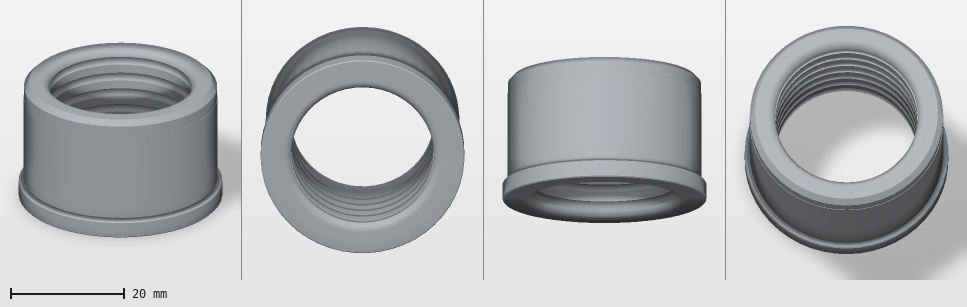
import cadquery as cq
import math

QUARTER_ARC_REACH = 1 - math.sqrt(0.5)

height = 22.0

flange_radius = 17.9
flange_height = 3.0
flange_chamfer = 0.18

fit_radius = 17.05
lead_radius = 16.97
lead_start = 19.0
top_chamfer = 0.93

relief_top = 3.47
relief_outer_radius = 17.45
relief_depth = 0.2
relief_dip = 0.2
relief_fillet = 0.3

liner_radius = 14.5
bore_radius = 12.5
mouth_fillet = 1.5

groove_count = 7
groove_pitch = 3.05
groove_radius = groove_pitch / 4


def revolve_about_z(profile):
    """Turn a closed (radius, height) profile into a solid around the Z axis."""
    return profile.revolve(360, (0, 0, 0), (0, 1, 0))


def make_housing():
    """Flanged sleeve with a plain bore, a lead-in and a corner relief."""
    relief_radius = fit_radius - relief_depth
    arc_reach = relief_fillet * QUARTER_ARC_REACH
    relief_bottom = flange_height - relief_dip
    profile = (
        cq.Workplane("XZ")
        .moveTo(liner_radius, 0)
        .lineTo(flange_radius - flange_chamfer, 0)
        .lineTo(flange_radius, flange_chamfer)
        .lineTo(flange_radius, flange_height - flange_chamfer)
        .lineTo(flange_radius - flange_chamfer, flange_height)
        .lineTo(relief_outer_radius, flange_height)
        .lineTo(relief_radius + relief_fillet, relief_bottom)
        .threePointArc(
            (relief_radius + arc_reach, relief_bottom + arc_reach),
            (relief_radius, relief_bottom + relief_fillet),
        )
        .lineTo(fit_radius, relief_top)
        .lineTo(fit_radius, lead_start)
        .lineTo(lead_radius, lead_start)
        .lineTo(lead_radius, height - top_chamfer)
        .lineTo(lead_radius - top_chamfer, height)
        .lineTo(liner_radius, height)
        .close()
    )
    return revolve_about_z(profile)


def make_groove(level):
    """Ring cutter for one half-round groove centred at the given height."""
    section = cq.Workplane("XZ").center(bore_radius, level).circle(groove_radius)
    return section.revolve(360, (-bore_radius, 0, 0), (-bore_radius, 1, 0))


def make_liner():
    """Tube with rounded mouths at both ends and ring grooves in its bore."""
    mouth_radius = bore_radius + mouth_fillet
    arc_reach = mouth_fillet * QUARTER_ARC_REACH
    profile = (
        cq.Workplane("XZ")
        .moveTo(mouth_radius, 0)
        .lineTo(liner_radius, 0)
        .lineTo(liner_radius, height)
        .lineTo(mouth_radius, height)
        .threePointArc(
            (bore_radius + arc_reach, height - arc_reach),
            (bore_radius, height - mouth_fillet),
        )
        .lineTo(bore_radius, mouth_fillet)
        .threePointArc((bore_radius + arc_reach, arc_reach), (mouth_radius, 0))
        .close()
    )
    liner = revolve_about_z(profile)
    lowest_groove = (height - (groove_count - 1) * groove_pitch) / 2
    for index in range(groove_count):
        liner = liner.cut(make_groove(lowest_groove + index * groove_pitch))
    return liner


housing = make_housing()
liner = make_liner()
result = cq.Compound.makeCompound([housing.val(), *liner.solids().vals()])